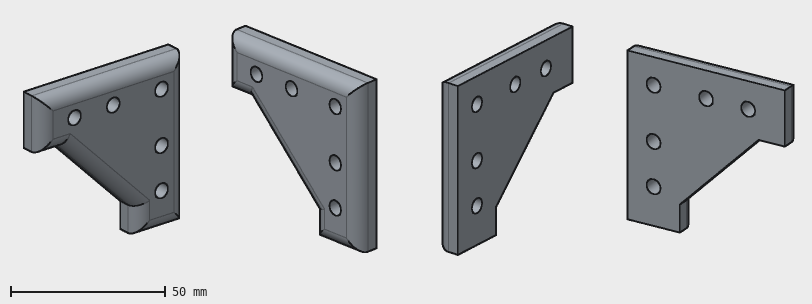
import cadquery as cq

side = 60.0
thickness = 9.0
arm_width = side / 3
arm_end_length = side / 6
edge_radius = 5.0
hole_diameter = 5.3
hole_inset = arm_width / 2
near_hole = 30.0
far_hole = 46.0

outline = [
    (0, 0),
    (-side, 0),
    (-side, -arm_width),
    (-side + arm_end_length, -arm_width),
    (-arm_width, -side + arm_end_length),
    (-arm_width, -side),
    (0, -side),
]
hole_centres = [(-hole_inset, -hole_inset)]
for distance in (near_hole, far_hole):
    hole_centres.append((-distance, -hole_inset))
    hole_centres.append((-hole_inset, -distance))

corner_plane = cq.Plane.YZ(origin=(0, side / 2, side / 2))

plate = cq.Workplane(corner_plane).polyline(outline).close().extrude(thickness)
plate = plate.faces(">X").edges().fillet(edge_radius)

holes = (
    cq.Workplane(corner_plane)
    .pushPoints(hole_centres)
    .circle(hole_diameter / 2)
    .extrude(thickness)
)
result = plate.cut(holes)